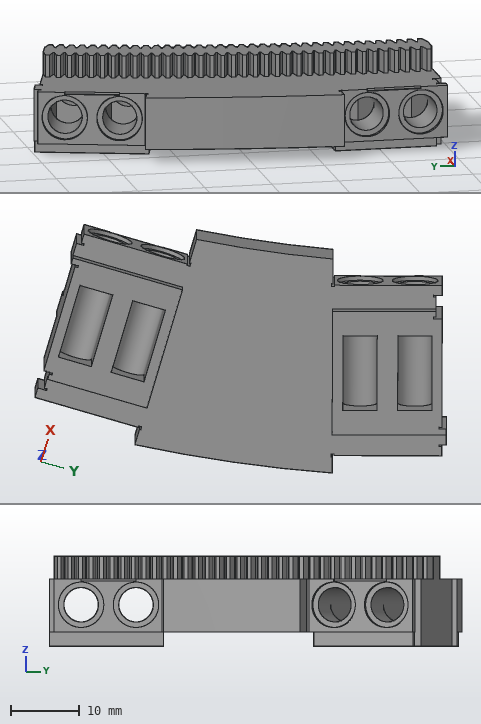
import cadquery as cq
import math


curve_radius = 199.65
segment_angle = 16.25
body_half_width = 15.85

body_height = 7.8
rack_height = 3.3
foot_height = 2.1

end_half_width = 12.65
end_length = 15.95
foot_width = 18.3
foot_length = 16.0

connector_offset = 9.65
recess_width = 3.1
recess_depth = 0.9
tab_width = 2.8
tab_height = 0.65

nick_width = 0.25
nick_depth = 0.4
step_nick_size = 0.4

pin_diameter = 5.0
counterbore_diameter = 6.6
counterbore_depth = 0.6
pin_offsets = (4.0, 12.0)
pin_z = 4.0
bearing_length = 7.1
edge_notch_depth = 0.4
edge_notch_height = 0.3

tooth_count = 36
tooth_tip_offset = 3.3
tooth_root_offset = 1.6
tip_fraction = 0.36
root_fraction = 0.12

margin = 12.05


def block(x_min, x_max, y_min, y_max, z_min, z_max):
    size = (x_max - x_min, y_max - y_min, z_max - z_min)
    return cq.Workplane("XY").box(*size, centered=False).translate((x_min, y_min, z_min))


def to_far_end(shape):
    """Turn a near-end shape to face outward at the far end of the curve."""
    pivot = (curve_radius, 0, 0)
    turned = shape.rotate((0, 0, 0), (0, 0, 1), 180)
    return turned.rotate(pivot, (curve_radius, 0, 1), -segment_angle)


def curve_point(offset, angle):
    """Point at a radial offset from the centre line, angle in degrees from the near end."""
    radius = curve_radius + offset
    turn = math.radians(angle)
    return (curve_radius - radius * math.cos(turn), radius * math.sin(turn))


def curved_body():
    half = segment_angle / 2
    return (
        cq.Workplane("XY")
        .moveTo(*curve_point(body_half_width, 0))
        .threePointArc(curve_point(body_half_width, half), curve_point(body_half_width, segment_angle))
        .lineTo(*curve_point(-body_half_width, segment_angle))
        .threePointArc(curve_point(-body_half_width, half), curve_point(-body_half_width, 0))
        .close()
        .extrude(body_height)
    )


def rack():
    pitch = segment_angle / tooth_count
    root_half = root_fraction * pitch / 2
    tip_half = tip_fraction * pitch / 2

    def flank(side):
        root = side * tooth_root_offset
        tip = side * tooth_tip_offset
        points = [curve_point(root, 0)]
        for tooth in range(tooth_count):
            start = tooth * pitch
            middle = start + pitch / 2
            points.append(curve_point(root, start + root_half))
            points.append(curve_point(tip, middle - tip_half))
            points.append(curve_point(tip, middle + tip_half))
            points.append(curve_point(root, start + pitch - root_half))
        points.append(curve_point(root, segment_angle))
        return points

    outline = flank(1) + flank(-1)[::-1]
    return cq.Workplane("XY").workplane(offset=body_height).polyline(outline).close().extrude(rack_height)


def end_additions():
    """Foot below the body and locating tab on the end face."""
    foot = block(-foot_width / 2, foot_width / 2, 0, foot_length, -foot_height, 0)
    tab_left = connector_offset - tab_width / 2
    body_tab = block(tab_left, tab_left + tab_width, -tab_height, 0, 0, body_height)
    foot_tab = block(tab_left, foot_width / 2, -tab_height, 0, -foot_height, 0)
    return foot.union(body_tab).union(foot_tab)


def end_face_cutter():
    """Locating recess with nicks in its corners, and nicks beside the tab."""
    recess_left = -connector_offset - recess_width / 2
    recess_right = recess_left + recess_width
    tab_left = connector_offset - tab_width / 2
    tab_right = tab_left + tab_width
    bottom, top = -foot_height, body_height
    cutter = block(recess_left, recess_right, -tab_height, recess_depth, bottom, top)
    nicks = (
        (recess_left, recess_depth),
        (recess_right - nick_width, recess_depth),
        (tab_left - nick_width, 0),
        (tab_right, 0),
    )
    for x, y in nicks:
        cutter = cutter.union(block(x, x + nick_width, y - nick_depth, y + nick_depth, bottom, top))
    return cutter


def side_step(side):
    """Material beside the end block, with a nick in the inner corner."""
    inner, outer = sorted((side * end_half_width, side * (body_half_width + margin)))
    step = block(inner, outer, -margin, end_length, 0, body_height)
    nick = (
        cq.Workplane("XY")
        .center(side * end_half_width, end_length)
        .rect(step_nick_size, step_nick_size)
        .extrude(body_height)
    )
    return step.union(nick)


def edge_notch(side):
    """Shallow notch in the top edge between the two pin holes."""
    inner, outer = sorted((side * (end_half_width - edge_notch_depth), side * end_half_width))
    return block(inner, outer, *pin_offsets, body_height - edge_notch_height, body_height)


def cylinder_along_x(diameter, x_min, x_max, y):
    disc = cq.Workplane("YZ").workplane(offset=x_min).center(y, pin_z)
    return disc.circle(diameter / 2).extrude(x_max - x_min)


def pin_hole(y):
    """Through hole, counterbored on both sides, with its middle stretch open downward."""
    seat = end_half_width - counterbore_depth
    open_half = end_half_width - bearing_length
    radius = pin_diameter / 2
    cutter = cylinder_along_x(pin_diameter, -end_half_width, end_half_width, y)
    cutter = cutter.union(cylinder_along_x(counterbore_diameter, seat, end_half_width, y))
    cutter = cutter.union(cylinder_along_x(counterbore_diameter, -end_half_width, -seat, y))
    return cutter.union(block(-open_half, open_half, y - radius, y + radius, -foot_height, pin_z))


def end_cutters():
    cutters = [end_face_cutter()]
    for side in (-1, 1):
        cutters.append(side_step(side))
        cutters.append(edge_notch(side))
    for y in pin_offsets:
        cutters.append(pin_hole(y))
    return cutters


result = curved_body().union(rack())
result = result.union(end_additions()).union(to_far_end(end_additions()))
for cutter in end_cutters():
    result = result.cut(cutter).cut(to_far_end(cutter))